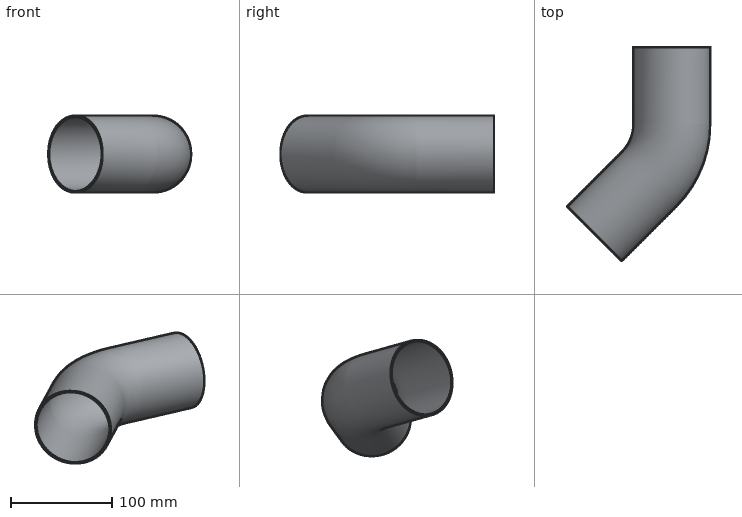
import cadquery as cq
import math

overall_length = 211.0
outer_diameter = 76.1
inner_diameter = 73.0
bend_angle = math.radians(45)

end_overhang = outer_diameter / 2 * math.sin(bend_angle)
bend_radius = (overall_length - end_overhang) / (1 + math.sin(bend_angle) + math.cos(bend_angle))
leg_length = bend_radius


def bend_point(angle):
    """Centreline point after turning by angle; the bend starts at the origin."""
    return (-bend_radius * (1 - math.cos(angle)), -bend_radius * math.sin(angle))


bend_end = bend_point(bend_angle)
slanted_end = (
    bend_end[0] - leg_length * math.sin(bend_angle),
    bend_end[1] - leg_length * math.cos(bend_angle),
)
centreline = (
    cq.Workplane("XY")
    .moveTo(0, leg_length)
    .lineTo(0, 0)
    .threePointArc(bend_point(bend_angle / 2), bend_end)
    .lineTo(*slanted_end)
)

result = (
    cq.Workplane("XZ", origin=(0, leg_length, 0))
    .circle(outer_diameter / 2)
    .circle(inner_diameter / 2)
    .sweep(centreline)
)